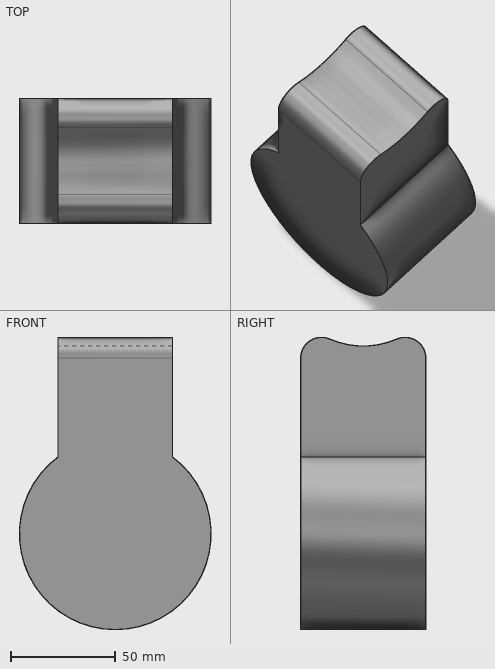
import cadquery as cq
import math

disc_radius = 45.9
depth = 60.0
arm_width = 55.0
overall_height = 139.97
lobe_radius = 10.0
saddle_radius = 40.0

half_depth = depth / 2
lobe_y = half_depth - lobe_radius
arm_top = overall_height - disc_radius
lobe_z = arm_top - lobe_radius
center_distance = lobe_radius + saddle_radius
saddle_z = lobe_z + math.sqrt(center_distance**2 - lobe_y**2)
saddle_bottom = saddle_z - saddle_radius
tangent_y = lobe_y * saddle_radius / center_distance
tangent_z = lobe_z + (saddle_z - lobe_z) * lobe_radius / center_distance


def make_disc():
    """Round body, centred on the Y axis."""
    return cq.Workplane("XZ").circle(disc_radius).extrude(half_depth, both=True)


def make_arm():
    """Upright arm with two rounded lobes and a saddle along its top."""
    profile = (
        cq.Workplane("YZ")
        .moveTo(-half_depth, 0)
        .lineTo(half_depth, 0)
        .lineTo(half_depth, lobe_z)
        .threePointArc((lobe_y, arm_top), (tangent_y, tangent_z))
        .threePointArc((0, saddle_bottom), (-tangent_y, tangent_z))
        .threePointArc((-lobe_y, arm_top), (-half_depth, lobe_z))
        .close()
    )
    return profile.extrude(arm_width / 2, both=True)


result = make_disc().union(make_arm())